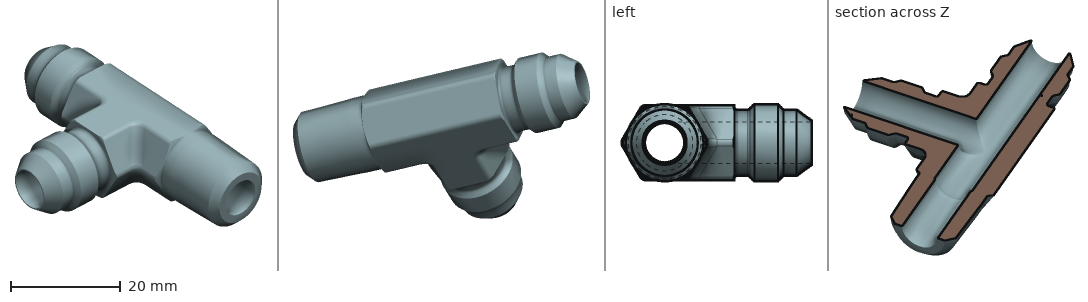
import cadquery as cq
import math

ARM_LENGTH = 26.9
OVERALL_LENGTH = 54.6
PIPE_LENGTH = OVERALL_LENGTH - ARM_LENGTH

HALF_HEIGHT = 6.9
SIDE_APOTHEM = 7.0
HEX_LEAN = math.radians(30)
CROTCH_RADIUS = 2.2
EDGE_RADIUS = 1.25
FLARE_BODY_END = 12.8
PIPE_BODY_END = 13.65
FLARE_FACE_RADIUS = 7.5
PIPE_FACE_RADIUS = HALF_HEIGHT
TURNED_ANGLE = math.radians(30)
TURNING_RADIUS = 10.9

NOSE_RADIUS = 4.05
SEAT_RADIUS = 6.05
THREAD_RADIUS = 14.15 / 2
SEAT_START = 24.15
THREAD_CONE_START = 21.7
THREAD_END = 16.4
THREAD_STEP = THREAD_RADIUS - SEAT_RADIUS
CONE_ANGLE = math.radians(45)
NECK_FILLET = 0.65
NECK_ROOT_RADIUS = 0.45

PIPE_RADIUS = 13.85 / 2
TAPER_START = 16.05
TAPER_RATIO = 1 / 32
PIPE_CHAMFER = 1.5

ARM_BORE = 7.55
PIPE_BORE = 7.15

TOLERANCE = 0.01


def hex_prism(plane, start, end):
    """Hexagonal prism with flats at top and bottom, along the normal of the plane."""
    corner = SIDE_APOTHEM / math.cos(HEX_LEAN)
    shoulder = corner - HALF_HEIGHT * math.tan(HEX_LEAN)
    outline = [
        (corner, 0), (shoulder, HALF_HEIGHT), (-shoulder, HALF_HEIGHT),
        (-corner, 0), (-shoulder, -HALF_HEIGHT), (shoulder, -HALF_HEIGHT),
    ]
    return cq.Workplane(plane).workplane(offset=start).polyline(outline).close().extrude(end - start)


def turning_ring(end, face_radius):
    """Ring that turns a conical chamfer on a body end at +X."""
    depth = (TURNING_RADIUS - face_radius) * math.tan(TURNED_ANGLE)
    profile = [(end, face_radius), (end, TURNING_RADIUS), (end - depth, TURNING_RADIUS)]
    return cq.Workplane("XY").polyline(profile).close().revolve(360, (0, 0, 0), (1, 0, 0))


def to_left(shape):
    """Turn a +X feature to point along -X."""
    return shape.rotate((0, 0, 0), (0, 0, 1), 180)


def to_branch(shape):
    """Turn a +X feature to point along -Y."""
    return shape.rotate((0, 0, 0), (0, 0, 1), -90)


def is_crotch(edge):
    """Slanted edges where the flats of the run and the branch meet."""
    tangent = edge.tangentAt(0.5)
    return min(abs(tangent.x), abs(tangent.y), abs(tangent.z)) > TOLERANCE


def is_long_edge(edge):
    """Hexagon edges, straight or around the crotch: level, and off the end faces."""
    box = edge.BoundingBox()
    on_end = (
        abs(box.xmax + FLARE_BODY_END) < TOLERANCE
        or abs(box.xmin - PIPE_BODY_END) < TOLERANCE
        or abs(box.ymax + FLARE_BODY_END) < TOLERANCE
    )
    return box.zlen < TOLERANCE and not on_end


def hex_body():
    """Hexagonal tee with rounded crotches and edges and turned ends."""
    run = hex_prism("YZ", -FLARE_BODY_END, PIPE_BODY_END)
    branch = hex_prism("XZ", 0, FLARE_BODY_END)
    body = run.union(branch)
    body = body.edges().filter(is_crotch).fillet(CROTCH_RADIUS)
    body = body.edges().filter(is_long_edge).fillet(EDGE_RADIUS)
    flare_ring = turning_ring(FLARE_BODY_END, FLARE_FACE_RADIUS)
    body = body.cut(turning_ring(PIPE_BODY_END, PIPE_FACE_RADIUS))
    return body.cut(to_left(flare_ring)).cut(to_branch(flare_ring))


def flared_arm():
    """Flared arm along +X: nose cone, seat, thread band and undercut neck."""
    neck_start = FLARE_BODY_END + NECK_ROOT_RADIUS
    cone_length = THREAD_STEP / math.tan(CONE_ANGLE)
    neck_corner = THREAD_END - cone_length
    tangent = NECK_FILLET * math.tan(CONE_ANGLE / 2)
    fillet_start = (
        neck_corner + tangent * math.cos(CONE_ANGLE),
        SEAT_RADIUS + tangent * math.sin(CONE_ANGLE),
    )
    profile = (
        cq.Workplane("XY")
        .moveTo(0, 0)
        .lineTo(ARM_LENGTH, 0)
        .lineTo(ARM_LENGTH, NOSE_RADIUS)
        .lineTo(SEAT_START, SEAT_RADIUS)
        .lineTo(THREAD_CONE_START, SEAT_RADIUS)
        .lineTo(THREAD_CONE_START - cone_length, THREAD_RADIUS)
        .lineTo(THREAD_END, THREAD_RADIUS)
        .lineTo(*fillet_start)
        .tangentArcPoint((neck_corner - tangent, SEAT_RADIUS), relative=False)
        .lineTo(neck_start, SEAT_RADIUS)
        .tangentArcPoint((FLARE_BODY_END, SEAT_RADIUS + NECK_ROOT_RADIUS), relative=False)
        .lineTo(0, SEAT_RADIUS + NECK_ROOT_RADIUS)
        .close()
    )
    return profile.revolve(360, (0, 0, 0), (1, 0, 0))


def pipe_end():
    """Pipe end along +X: collar, tapered thread and end chamfer."""
    chamfer_start = PIPE_LENGTH - PIPE_CHAMFER
    end_radius = PIPE_RADIUS - (chamfer_start - TAPER_START) * TAPER_RATIO
    profile = [
        (PIPE_BODY_END, 0),
        (PIPE_LENGTH, 0),
        (PIPE_LENGTH, end_radius - PIPE_CHAMFER),
        (chamfer_start, end_radius),
        (TAPER_START, PIPE_RADIUS),
        (PIPE_BODY_END, PIPE_RADIUS),
    ]
    return cq.Workplane("XY").polyline(profile).close().revolve(360, (0, 0, 0), (1, 0, 0))


def bore(diameter, start, end):
    """Round bore along X."""
    return cq.Workplane("YZ").workplane(offset=start).circle(diameter / 2).extrude(end - start)


arm = flared_arm()
result = hex_body().union(to_left(arm)).union(to_branch(arm)).union(pipe_end())

result = result.cut(bore(ARM_BORE, -ARM_LENGTH, PIPE_BODY_END))
result = result.cut(to_branch(bore(ARM_BORE, 0, ARM_LENGTH)))
result = result.cut(bore(PIPE_BORE, PIPE_BODY_END, PIPE_LENGTH))